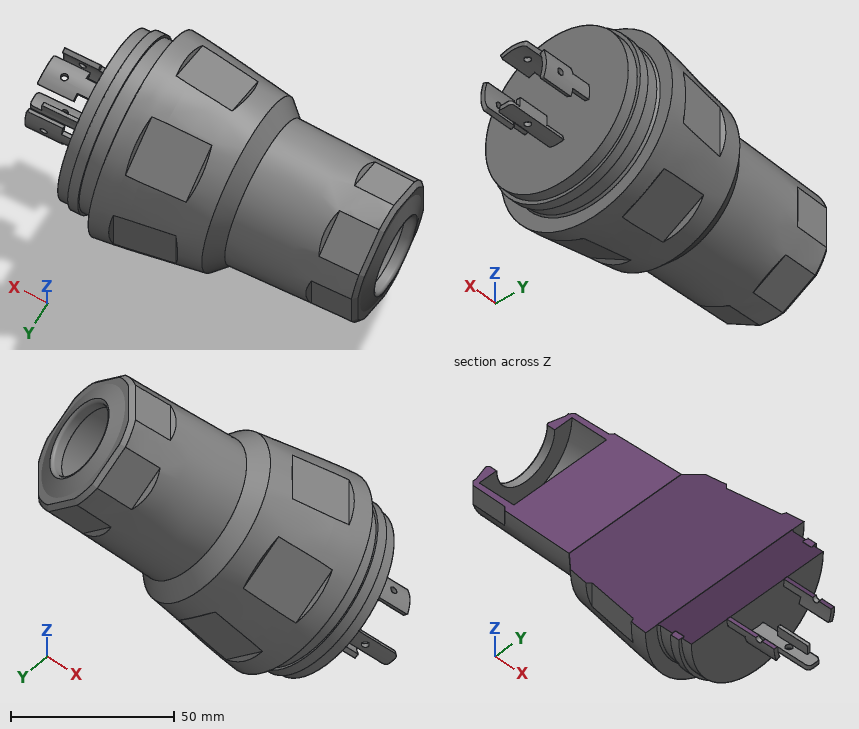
import cadquery as cq
import math


NUT_FACE_X = 1.6
NUT_END_X = 45.9
BODY_CONE_X = 51.1
BODY_TANGENT_X = 75.4
BODY_END_X = 87.8
SHOULDER_X = 88.8
SEAL_START_X = 93.9
SEAL_END_X = 97.4
INSERT_END_X = 101.5

NUT_FRONT_R = 24.0
NUT_BACK_R = 25.0
NUT_CHAMFER = 1.5
NOSE_R = 19.7
NOSE_TIP_R = 14.0
BORE_R = 12.8
LIP_END_X = 3.8
CAVITY_R = 20.5
CAVITY_END_X = 18.2
NUT_FLAT_DEPTH = 1.3
NUT_FLAT_END_X = 16.8

BODY_CONE_R = 30.0
BODY_TANGENT_R = 33.7
BODY_MAX_R = 35.2
BODY_FLAT_DEPTH = 1.5
BODY_FLAT_START_X = 60.2
BODY_FLAT_END_X = 80.3

FLAT_COUNT = 6
CUTTER_HEIGHT = 7.5
CUTTER_WIDTH = 30.2

SHOULDER_R = 30.2
INSERT_INNER_R = 29.7
INSERT_OUTER_R = 29.3
SEAL_R = 30.5
SEAL_GROOVE_R = 28.3

BLADE_R = 13.5
BLADE_THICKNESS = 1.6
STEM_WIDTH = 5.8
BLADE_WIDTH = 11.0
BLADE_START_X = 108.8
BLADE_END_X = 121.4
BLADE_CORNER_R = 0.5
BLADE_HOLE_X = 114.9
BLADE_HOLE_D = 2.4
GROUND_END_X = 125.7
GROUND_CORNER_R = 1.4
HOOK_TOP_R = 8.0
HOOK_THICKNESS = 1.3
LIVE_BLADE_ANGLES = (0, 90, 180)
GROUND_BLADE_ANGLE = 270


def slope(x1, r1, x2, r2):
    """Radius gained per unit of length."""
    return (r2 - r1) / (x2 - x1)


def turned(points):
    """Solid of revolution about X from (x, radius) points."""
    return cq.Workplane("XY").polyline(points).close().revolve(360, (0, 0, 0), (1, 0, 0))


def disc(x1, x2, r):
    """Solid cylinder along X."""
    return turned([(x1, 0), (x1, r), (x2, r), (x2, 0)])


def cut_flats(solid, profile):
    """Cut the (x, radius) profile as a straight flat at equal steps around X, starting at +Y."""
    cutter = cq.Workplane("XY").polyline(profile).close().extrude(CUTTER_WIDTH / 2, both=True)
    for i in range(FLAT_COUNT):
        solid = solid.cut(cutter.rotate((0, 0, 0), (1, 0, 0), i * 360 / FLAT_COUNT))
    return solid


def make_nut():
    """Tapered cable nut with wrench flats and a domed nose."""
    chamfer_end_x = NUT_FACE_X + NUT_CHAMFER
    taper = slope(chamfer_end_x, NUT_FRONT_R, NUT_END_X, NUT_BACK_R)
    nut = turned([
        (NUT_FACE_X, 0),
        (NUT_FACE_X, NUT_FRONT_R - NUT_CHAMFER),
        (chamfer_end_x, NUT_FRONT_R),
        (NUT_END_X, NUT_BACK_R),
        (NUT_END_X, 0),
    ])
    front_r = NUT_FRONT_R - NUT_FLAT_DEPTH
    back_r = front_r + taper * (NUT_FLAT_END_X - chamfer_end_x)
    nut = cut_flats(nut, [
        (NUT_FACE_X, front_r - NUT_CHAMFER),
        (chamfer_end_x, front_r),
        (NUT_FLAT_END_X, back_r),
        (NUT_FLAT_END_X + CUTTER_HEIGHT, back_r + CUTTER_HEIGHT),
        (NUT_FACE_X, back_r + CUTTER_HEIGHT),
    ])
    nose = turned([(0, 0), (0, NOSE_TIP_R), (NUT_FACE_X, NOSE_R), (NUT_FACE_X, 0)])
    return nut.union(nose).cut(make_bore())


def make_bore():
    """Cable entry with a quarter-round mouth, widening behind a lip into a blind cavity."""
    mouth_r = NOSE_TIP_R - BORE_R
    return (
        cq.Workplane("XY")
        .moveTo(0, 0)
        .lineTo(0, NOSE_TIP_R)
        .radiusArc((mouth_r, BORE_R), -mouth_r)
        .lineTo(LIP_END_X, BORE_R)
        .lineTo(LIP_END_X, CAVITY_R)
        .lineTo(CAVITY_END_X, CAVITY_R)
        .lineTo(CAVITY_END_X, 0)
        .close()
        .revolve(360, (0, 0, 0), (1, 0, 0))
    )


def make_housing():
    """Flared housing whose cone eases into a tangent arc at the rim."""
    taper = slope(BODY_CONE_X, BODY_CONE_R, BODY_TANGENT_X, BODY_TANGENT_R)
    housing = (
        cq.Workplane("XY")
        .moveTo(NUT_END_X, 0)
        .lineTo(NUT_END_X, NUT_BACK_R)
        .lineTo(BODY_CONE_X, BODY_CONE_R)
        .lineTo(BODY_TANGENT_X, BODY_TANGENT_R)
        .tangentArcPoint((BODY_END_X, BODY_MAX_R), relative=False)
        .lineTo(BODY_END_X, 0)
        .close()
        .revolve(360, (0, 0, 0), (1, 0, 0))
    )
    start_r = BODY_CONE_R + taper * (BODY_FLAT_START_X - BODY_CONE_X) - BODY_FLAT_DEPTH
    end_r = start_r + taper * (BODY_FLAT_END_X - BODY_FLAT_START_X)
    return cut_flats(housing, [
        (BODY_FLAT_START_X, start_r),
        (BODY_FLAT_END_X, end_r),
        (BODY_FLAT_END_X + CUTTER_HEIGHT / 2, end_r + CUTTER_HEIGHT),
        (BODY_FLAT_START_X - CUTTER_HEIGHT, start_r + CUTTER_HEIGHT),
    ])


def make_insert():
    """Contact carrier with a groove for the seal ring."""
    return turned([
        (BODY_END_X, 0),
        (BODY_END_X, SHOULDER_R),
        (SHOULDER_X, INSERT_INNER_R),
        (SEAL_START_X, INSERT_INNER_R),
        (SEAL_START_X, SEAL_GROOVE_R),
        (SEAL_END_X, SEAL_GROOVE_R),
        (SEAL_END_X, INSERT_OUTER_R),
        (INSERT_END_X, INSERT_OUTER_R),
        (INSERT_END_X, 0),
    ])


def make_seal_ring():
    """Plain ring that fills the groove of the insert and stands proud of it."""
    ring = disc(SEAL_START_X, SEAL_END_X, SEAL_R)
    return ring.cut(disc(SEAL_START_X, SEAL_END_X, SEAL_GROOVE_R))


def curved_strip(x1, x2, width):
    """Strip of a tube wall centred on +Y, with radial side faces."""
    half_angle = math.degrees(math.asin(width / 2 / BLADE_R))
    strip = (
        cq.Workplane("XY")
        .moveTo(x1, BLADE_R - BLADE_THICKNESS)
        .lineTo(x2, BLADE_R - BLADE_THICKNESS)
        .lineTo(x2, BLADE_R)
        .lineTo(x1, BLADE_R)
        .close()
        .revolve(2 * half_angle, (0, 0, 0), (1, 0, 0))
    )
    return strip.rotate((0, 0, 0), (1, 0, 0), -half_angle)


def round_tip(strip, radius):
    """Round the two corners at the free end of a strip."""
    return strip.faces(">X").edges("%LINE").fillet(radius)


def drill_blade(blade):
    """Drill the cross hole of a blade centred on +Y."""
    drill = cq.Workplane("XZ").center(BLADE_HOLE_X, 0).circle(BLADE_HOLE_D / 2).extrude(-BLADE_R)
    return blade.cut(drill)


def make_live_blade(angle):
    """Narrow stem with a wide curved head, turned to its place around the axis."""
    stem = curved_strip(INSERT_END_X, BLADE_START_X, STEM_WIDTH)
    head = round_tip(curved_strip(BLADE_START_X, BLADE_END_X, BLADE_WIDTH), BLADE_CORNER_R)
    return drill_blade(stem.union(head)).rotate((0, 0, 0), (1, 0, 0), angle)


def make_ground_blade():
    """Long narrow blade with a flange along one edge that points at the axis."""
    stem = round_tip(curved_strip(INSERT_END_X, GROUND_END_X, STEM_WIDTH), GROUND_CORNER_R)
    edge = STEM_WIDTH / 2 * (BLADE_R - BLADE_THICKNESS) / BLADE_R
    root_r = BLADE_R - BLADE_THICKNESS / 2
    hook = (
        cq.Workplane("XY")
        .workplane(offset=edge)
        .moveTo(BLADE_START_X, HOOK_TOP_R)
        .lineTo(BLADE_END_X, HOOK_TOP_R)
        .lineTo(BLADE_END_X, root_r)
        .lineTo(BLADE_START_X, root_r)
        .close()
        .extrude(-HOOK_THICKNESS)
        .edges("|Z and >X and <Y")
        .fillet(BLADE_CORNER_R)
    )
    return drill_blade(stem).union(hook).rotate((0, 0, 0), (1, 0, 0), GROUND_BLADE_ANGLE)


nut = make_nut()
housing = make_housing()
insert = make_insert()
seal_ring = make_seal_ring()
live_blades = [make_live_blade(angle) for angle in LIVE_BLADE_ANGLES]
ground_blade = make_ground_blade()

result = cq.Compound.makeCompound([
    nut.val(),
    housing.val(),
    insert.val(),
    seal_ring.val(),
    *[blade.val() for blade in live_blades],
    ground_blade.val(),
])